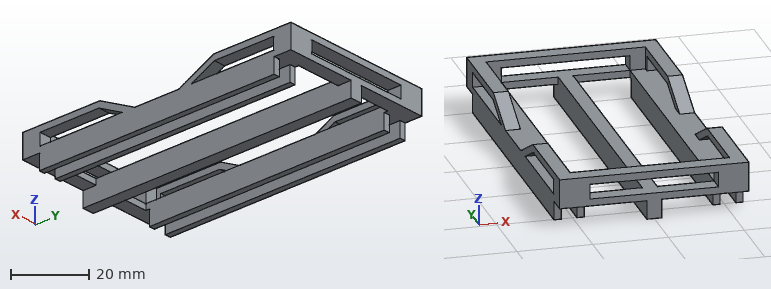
import cadquery as cq

length = 92
width = 50.0
height = 13.0

frame_bottom = 5.1
rail_top = 7.0
bar_thickness = 2.0
window_top = height - bar_thickness

end_wall = 4.5
side_wall = 4.0
rail_width = 8.0
center_rail_width = 4.0

leg_thickness = 1.9
leg_end_gap = 5.7

corner_post = 6.0
window_end = length / 2 - corner_post
slope_foot = 7.5
slope_top = 19.5
window_foot = 11.9
slope_run_per_rise = (slope_top - slope_foot) / (height - rail_top)
window_shoulder = window_foot + (window_top - rail_top) * slope_run_per_rise


def box(size_x, size_y, z_low, z_high, x=0, y=0):
    """Block centred at x, y that spans z_low to z_high."""
    return (
        cq.Workplane("XY", origin=(x, y, z_low))
        .rect(size_x, size_y)
        .extrude(z_high - z_low)
    )


def side_prism(points):
    """Extrude a (y, z) outline across the full width."""
    return cq.Workplane("YZ").polyline(points).close().extrude(width / 2, both=True)


def make_frame():
    """Rectangular frame with dipped sides, side windows and end windows."""
    opening_length = length - 2 * end_wall
    frame = box(width, length, frame_bottom, height)
    frame = frame.cut(box(width - 2 * side_wall, opening_length, frame_bottom, height))

    dip = side_prism([
        (-slope_top, height),
        (-slope_foot, rail_top),
        (slope_foot, rail_top),
        (slope_top, height),
    ])
    frame = frame.cut(dip)

    for side in (-1, 1):
        window = side_prism([
            (side * window_foot, rail_top),
            (side * window_shoulder, window_top),
            (side * window_end, window_top),
            (side * window_end, rail_top),
        ])
        frame = frame.cut(window)

    end_window_width = width - 2 * rail_width
    return frame.cut(box(end_window_width, length, rail_top, window_top))


def make_side_rail(side):
    """Flat rail joining the end walls, with a leg along each of its edges."""
    rail_center = (width - rail_width) / 2
    rail = box(rail_width, length, frame_bottom, rail_top, x=side * rail_center)
    leg_offset = (rail_width - leg_thickness) / 2
    leg_length = length - 2 * leg_end_gap
    for leg_center in (rail_center - leg_offset, rail_center + leg_offset):
        leg = box(leg_thickness, leg_length, 0, frame_bottom, x=side * leg_center)
        rail = rail.union(leg)
    return rail


result = make_frame()
for side in (-1, 1):
    result = result.union(make_side_rail(side))
result = result.union(box(center_rail_width, length, 0, rail_top))